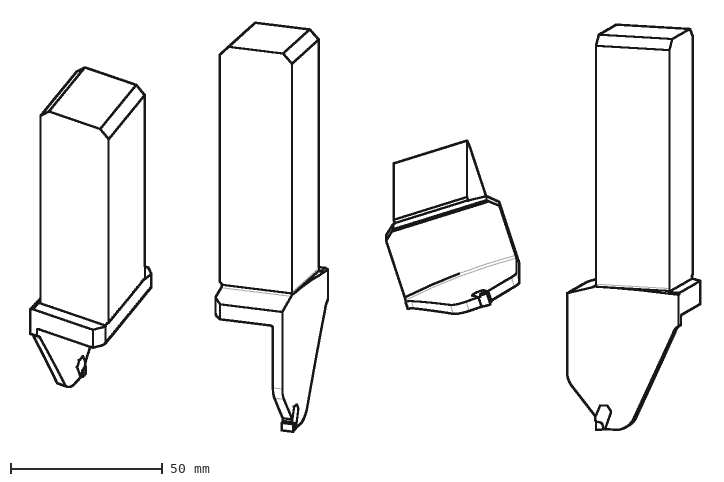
import cadquery as cq
import math


shank_side = 25.4
shank_right = 27.3
shank_left = shank_right - shank_side
shank_front = 3.8
shank_back = shank_front + shank_side
tool_top = 131.7
top_chamfer = 3.2
shank_foot = 48.3
shank_foot_chamfer = 1.0

head_right = 26.3
head_depth = 39.1
head_top = 47.7
head_bottom = 39.9
head_back_top = 45.2
head_corner_x = 2.9
head_corner_y = 3.4
head_bottom_chamfer = 0.5
shoulder_run = 1.0
ramp_top = 48.7
ramp_knee_x = 1.7
ramp_knee_z = 48.0
ramp_end = 47.1

apex_y = 31.6
outer_apex_x = 1.7
inner_apex_x = 5.1
inner_edge_x = 2.5
root_fillet = 0.8

blade_bottom = 0.4
front_edge_bottom = 36.6
front_flank_top = (2.1, 34.0)
front_notch_mid = (1.3, 35.5)
front_flank_end = (16.2, 4.2)
nose_mid = (18.6, 1.6)
nose_end = (21.7, blade_bottom)
bottom_back_y = 26.1
back_flank_bottom = (29.4, 4.5)
back_flank_top = (37.4, 14.1)
back_round_mid = (38.7, 16.3)
back_edge_bottom = 19.1

insert_back_y = 29.1
insert_top = 8.3
tip_left = 1.6
tip_right = 5.5
tip_top = 2.6
tip_front_y = 26.7
tip_round = 1.3


def face_radius(edge_x, apex_x):
    """Radius of an arc that passes its apex at apex_y and reaches edge_x at Y = 0."""
    sagitta = apex_x - edge_x
    return (apex_y**2 + sagitta**2) / (2 * sagitta)


def arc_x(y, edge_x, apex_x):
    """X position of a curved blade face at a given Y."""
    radius = face_radius(edge_x, apex_x)
    return apex_x - radius + math.sqrt(radius**2 - (apex_y - y) ** 2)


def outer_x(y):
    return arc_x(y, 0, outer_apex_x)


def inner_x(y):
    return arc_x(y, inner_edge_x, inner_apex_x)


def extrude_plan(plan, bottom, top):
    return plan.extrude(top - bottom).translate((0, 0, bottom))


def make_shank():
    """Square bar with two top chamfers and a small chamfer at the +X foot."""
    outline = [
        (shank_left, head_bottom + root_fillet),
        (head_right, head_bottom + root_fillet),
        (head_right, shank_foot),
        (shank_right, shank_foot + shank_foot_chamfer),
        (shank_right, tool_top - top_chamfer),
        (shank_right - top_chamfer, tool_top),
        (shank_left + top_chamfer, tool_top),
        (shank_left, tool_top - top_chamfer),
    ]
    bar = cq.Workplane("XZ").polyline(outline).close().extrude(-shank_side)
    return bar.translate((0, shank_front, 0))


def make_head():
    """Block with a curved -X face, cut corners, a sloped back and a ramp up to the shank."""
    plan = (
        cq.Workplane("XY")
        .moveTo(0, 0)
        .lineTo(head_right - head_corner_x, 0)
        .lineTo(head_right, head_corner_y)
        .lineTo(head_right, head_depth - head_corner_y)
        .lineTo(head_right - head_corner_x, head_depth)
        .lineTo(outer_x(head_depth), head_depth)
        .threePointArc((outer_x(head_depth / 2), head_depth / 2), (0, 0))
        .close()
    )
    block = extrude_plan(plan, head_bottom, ramp_top)
    side_outline = [
        (0, head_bottom),
        (head_depth, head_bottom),
        (head_depth, head_back_top),
        (shank_back + shoulder_run, head_top),
        (shank_back, shank_foot),
        (shank_back, ramp_top),
        (shank_front, ramp_top),
        (shank_front, head_top),
        (0, head_top),
    ]
    side_profile = cq.Workplane("YZ").polyline(side_outline).close().extrude(head_right)
    front_outline = [
        (0, head_bottom),
        (head_right - head_bottom_chamfer, head_bottom),
        (head_right, head_bottom + head_bottom_chamfer),
        (head_right, ramp_top),
        (shank_left, ramp_top),
        (ramp_knee_x, ramp_knee_z),
        (0, ramp_end),
    ]
    front_profile = cq.Workplane("XZ").polyline(front_outline).close().extrude(-head_depth)
    return block.intersect(side_profile).intersect(front_profile)


def make_blade_stock(bottom, top):
    """Curved slab between the outer and inner blade faces."""
    middle = head_depth / 2
    plan = (
        cq.Workplane("XY")
        .moveTo(0, 0)
        .lineTo(inner_edge_x, 0)
        .threePointArc((inner_x(middle), middle), (inner_x(head_depth), head_depth))
        .lineTo(outer_x(head_depth), head_depth)
        .threePointArc((outer_x(middle), middle), (0, 0))
        .close()
    )
    return extrude_plan(plan, bottom, top)


def make_blade_outline():
    return (
        cq.Workplane("YZ")
        .moveTo(0, head_bottom + root_fillet)
        .lineTo(0, front_edge_bottom)
        .threePointArc(front_notch_mid, front_flank_top)
        .lineTo(*front_flank_end)
        .threePointArc(nose_mid, nose_end)
        .lineTo(bottom_back_y, blade_bottom)
        .lineTo(*back_flank_bottom)
        .lineTo(*back_flank_top)
        .threePointArc(back_round_mid, (head_depth, back_edge_bottom))
        .lineTo(head_depth, head_bottom + root_fillet)
        .close()
        .extrude(head_right)
    )


def make_insert_outline():
    """Slanted insert shape, extruded across the blade."""
    points = [
        (27.7, insert_top),
        (25.2, insert_top),
        (23.8, 6.3),
        (26.1, 0.3),
        (insert_back_y, 0),
        (insert_back_y, tip_top),
        (29.5, 3.5),
        (29.2, 4.6),
    ]
    return cq.Workplane("YZ").polyline(points).close().extrude(head_right)


def make_insert():
    """Insert flush with the blade faces, plus a slightly wider cutting tip."""
    body = make_insert_outline().intersect(make_blade_stock(0, head_bottom))
    tip = (
        cq.Workplane("YZ")
        .moveTo(insert_back_y, 0)
        .lineTo(insert_back_y, tip_top)
        .lineTo(tip_front_y + tip_round, tip_top)
        .radiusArc((tip_front_y, tip_top - tip_round), -tip_round)
        .lineTo(tip_front_y, 0)
        .close()
        .extrude(tip_right - tip_left)
        .translate((tip_left, 0, 0))
        .intersect(make_insert_outline())
    )
    return body.union(tip)


def make_holder():
    blade = make_blade_stock(0, head_bottom + root_fillet).intersect(make_blade_outline())
    holder = make_shank().union(make_head()).union(blade)
    root_box = cq.selectors.BoxSelector(
        (inner_edge_x, 0, head_bottom - root_fillet / 2),
        (inner_apex_x, head_depth, head_bottom + root_fillet / 2),
    )
    holder = holder.edges(root_box).fillet(root_fillet)
    return holder.cut(make_insert_outline())


holder = make_holder()
insert = make_insert()

result = cq.Compound.makeCompound([holder.val(), insert.val()])